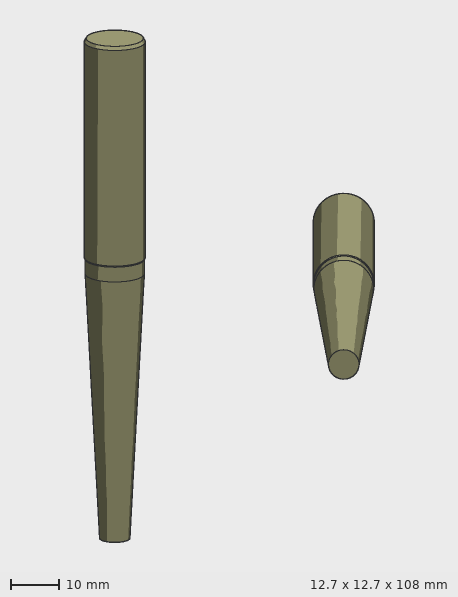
import cadquery as cq
import math

INCH = 25.4

total_length = 4.25 * INCH
shank_radius = 0.5 * INCH / 2
cutter_length = 2.25 * INCH
tip_radius = 0.25 * INCH / 2
taper_half_angle = math.radians(3)
neck_length = 0.125 * INCH
top_bevel_height = 0.03 * INCH
bevel_angle = math.radians(30)

neck_radius = tip_radius + cutter_length * math.tan(taper_half_angle)

top_face_radius = shank_radius - top_bevel_height * math.tan(bevel_angle)
shoulder_bevel_height = (shank_radius - neck_radius) / math.tan(bevel_angle)

neck_bottom = cutter_length
neck_top = neck_bottom + neck_length
shoulder_top = neck_top + shoulder_bevel_height
top_bevel_bottom = total_length - top_bevel_height


def turned(outline):
    """Revolve a closed outline of (radius, height) points about the Z axis."""
    return cq.Workplane("YZ").polyline(outline).close().revolve(360, (0, 0), (0, 1))


def make_cutter():
    """Cone that widens from the flat tip to the neck."""
    return turned([
        (0, 0),
        (tip_radius, 0),
        (neck_radius, neck_bottom),
        (0, neck_bottom),
    ])


def make_shank():
    """Cylindrical shank, bevelled at both ends, with a short, slightly narrower neck below."""
    return turned([
        (0, neck_bottom),
        (neck_radius, neck_bottom),
        (neck_radius, neck_top),
        (shank_radius, shoulder_top),
        (shank_radius, top_bevel_bottom),
        (top_face_radius, total_length),
        (0, total_length),
    ])


cutter = make_cutter()
shank = make_shank()

result = cq.Compound.makeCompound([cutter.val(), shank.val()])